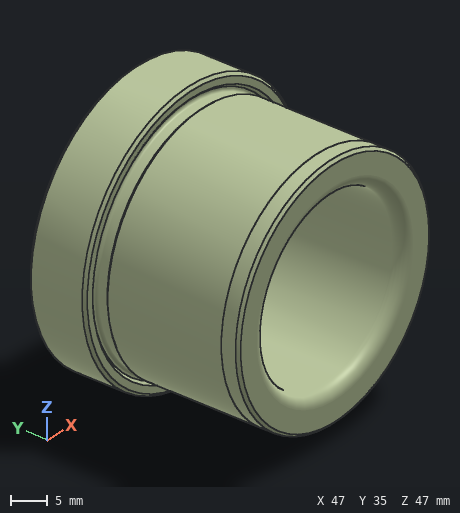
import cadquery as cq
import math


flange_radius = 23.5
flange_length = 10.0
edge_chamfer = 0.5

shank_radius = 21.0
shank_length = 25.0
lead_length = 3.0
lead_radius = 20.98

groove_radius = 20.5
groove_length = 1.5
relief_depth = 0.5
relief_floor_radius = 21.3
relief_outer_radius = relief_floor_radius + relief_depth
root_fillet = 0.5

bore_radius = 15.0
bore_mouth_fillet = 2.0

shoulder_y = 0.0
flange_end_y = shoulder_y + flange_length
shank_end_y = shoulder_y - shank_length
groove_end_y = shoulder_y - groove_length
lead_start_y = shank_end_y + lead_length
relief_floor_y = shoulder_y + relief_depth


def make_body():
    """Revolve the outer half-section into a solid without its bore."""
    groove_chamfer = shank_radius - groove_radius
    arc_setback = root_fillet * (1 - math.sqrt(0.5))
    arc_middle = (groove_radius + arc_setback, relief_floor_y - arc_setback)
    half_section = (
        cq.Workplane("XY")
        .moveTo(0, shank_end_y)
        .lineTo(lead_radius - edge_chamfer, shank_end_y)
        .lineTo(lead_radius, shank_end_y + edge_chamfer)
        .lineTo(lead_radius, lead_start_y)
        .lineTo(shank_radius, lead_start_y)
        .lineTo(shank_radius, groove_end_y - groove_chamfer)
        .lineTo(groove_radius, groove_end_y)
        .lineTo(groove_radius, relief_floor_y - root_fillet)
        .threePointArc(arc_middle, (groove_radius + root_fillet, relief_floor_y))
        .lineTo(relief_floor_radius, relief_floor_y)
        .lineTo(relief_outer_radius, shoulder_y)
        .lineTo(flange_radius - edge_chamfer, shoulder_y)
        .lineTo(flange_radius, shoulder_y + edge_chamfer)
        .lineTo(flange_radius, flange_end_y - edge_chamfer)
        .lineTo(flange_radius - edge_chamfer, flange_end_y)
        .lineTo(0, flange_end_y)
        .close()
    )
    return half_section.revolve(360, (0, 0, 0), (0, 1, 0))


def cut_bore(body):
    """Cut the through bore and round its mouth at the shank end."""
    bore = (
        cq.Workplane("XZ", origin=(0, flange_end_y, 0))
        .circle(bore_radius)
        .extrude(flange_length + shank_length)
    )
    bored = body.cut(bore)
    mouth = bored.faces("<Y").edges(cq.selectors.RadiusNthSelector(0))
    return mouth.fillet(bore_mouth_fillet)


result = cut_bore(make_body())